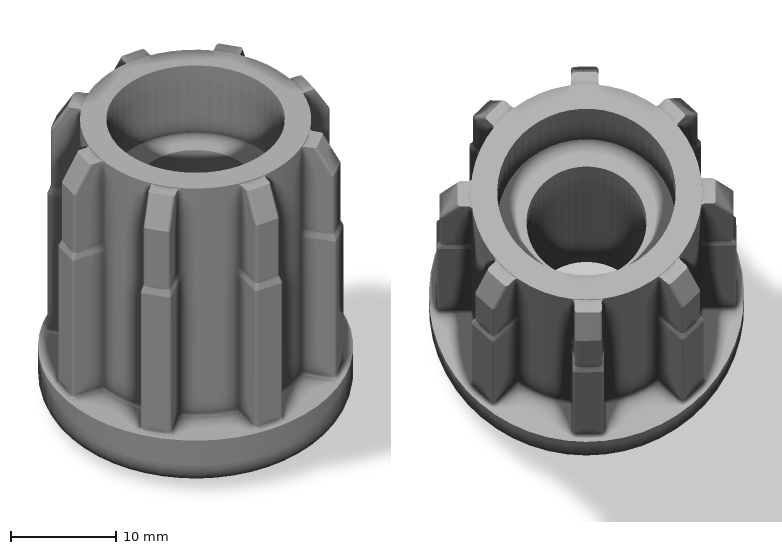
import cadquery as cq
import math

height = 33.0
flange_diameter = 30.0
flange_height = 6.0
flange_edge_radius = flange_height / 2
tube_diameter = 22.0

seat_diameter = 17.0
seat_depth = 8.0
through_diameter = 11.42

rib_count = 8
lower_rib_radius = 14.25
lower_rib_width = 3.0
upper_rib_radius = 14.0
upper_rib_width = 2.6
taper_start = 22.35
taper_end = 23.05
rib_top_gap = 0.1
rib_top = height - rib_top_gap
rib_tip_radius = 12.28
rib_tip_angle = 30.0
rib_inner_radius = (tube_diameter + seat_diameter) / 4
rib_root_level = flange_height / 2
tip_start = rib_top - (upper_rib_radius - rib_tip_radius) / math.tan(math.radians(rib_tip_angle))

rib_edge_radius = 0.3
root_radius = 0.3
match_tolerance = 0.015


def make_body():
    flange = (
        cq.Workplane("XY")
        .circle(flange_diameter / 2)
        .extrude(flange_height)
        .faces("<Z")
        .edges()
        .fillet(flange_edge_radius)
    )
    tube = cq.Workplane("XY").circle(tube_diameter / 2).extrude(height)
    return flange.union(tube)


def rib_section(workplane, tip_radius, width):
    """Plan outline of a rib pointing to +X, with its two outer corners rounded."""
    side = width / 2
    corner = rib_edge_radius
    return (
        workplane
        .moveTo(rib_inner_radius, -side)
        .lineTo(tip_radius - corner, -side)
        .radiusArc((tip_radius, -side + corner), -corner)
        .lineTo(tip_radius, side - corner)
        .radiusArc((tip_radius - corner, side), -corner)
        .lineTo(rib_inner_radius, side)
        .close()
    )


def make_lower_rib():
    """Wide straight stretch of a rib, and the taper above it."""
    base = cq.Workplane("XY").workplane(offset=rib_root_level)
    straight = rib_section(base, lower_rib_radius, lower_rib_width).extrude(taper_start - rib_root_level)
    taper_bottom = cq.Workplane("XY").workplane(offset=taper_start)
    taper_top = rib_section(taper_bottom, lower_rib_radius, lower_rib_width).workplane(
        offset=taper_end - taper_start
    )
    taper = rib_section(taper_top, upper_rib_radius, upper_rib_width).loft(ruled=True)
    return straight.union(taper)


def make_upper_rib():
    """Narrow stretch of a rib, with its sloping tip."""
    upper = (
        cq.Workplane("XZ")
        .moveTo(rib_inner_radius, taper_end)
        .lineTo(upper_rib_radius, taper_end)
        .lineTo(upper_rib_radius, tip_start)
        .lineTo(rib_tip_radius, rib_top)
        .lineTo(rib_inner_radius, rib_top)
        .close()
        .extrude(upper_rib_width / 2, both=True)
    )
    rising_edges = upper.edges("#Y").edges("not #Z").edges("not <X")
    return rising_edges.fillet(rib_edge_radius)


def is_root_edge(edge):
    """True where a rib meets the tube or the flange, or the tube meets the flange."""
    box = edge.BoundingBox()
    middle = edge.positionAt(0.5)
    radius = math.hypot(middle.x, middle.y)
    on_flange = abs(box.zmin - flange_height) < match_tolerance and box.zlen < match_tolerance
    inside_rim = radius < flange_diameter / 2 - match_tolerance
    on_tube = abs(radius - tube_diameter / 2) < match_tolerance and box.zlen > match_tolerance
    beside_rib = on_tube and box.zmax < height - match_tolerance
    return (on_flange and inside_rim) or beside_rib


def round_roots(part):
    return part.newObject([e for e in part.edges().vals() if is_root_edge(e)]).fillet(root_radius)


def make_bore():
    through_hole = cq.Workplane("XY").circle(through_diameter / 2).extrude(height)
    seat = (
        cq.Workplane("XY")
        .workplane(offset=height - seat_depth)
        .circle(seat_diameter / 2)
        .extrude(seat_depth)
    )
    return through_hole.union(seat)


body = make_body()
rib = make_lower_rib().union(make_upper_rib())
for index in range(rib_count):
    body = body.union(rib.rotate((0, 0, 0), (0, 0, 1), index * 360 / rib_count))

result = round_roots(body).cut(make_bore())